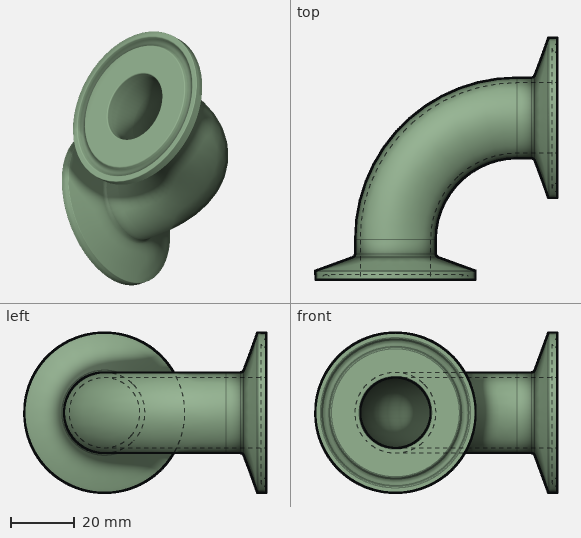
import cadquery as cq
import math


overall_length = 76.0
flange_diameter = 50.4
tube_outer_diameter = 25.4
tube_bore_diameter = 22.1
bend_radius = 38.15
rim_thickness = 2.8
cone_angle = 20.0
neck_fillet = 1.1
rim_edge_fillet = 0.2
bore_edge_fillet = 0.4

groove_diameter = 43.7
groove_arc_radius = 1.15
groove_depth = 1.6
groove_flank_angle = 25.0
groove_edge_fillet = 0.45

flange_radius = flange_diameter / 2
tube_radius = tube_outer_diameter / 2
bore_radius = tube_bore_diameter / 2
ferrule_length = overall_length - flange_radius - bend_radius
cone_height = (flange_radius - tube_radius) * math.tan(math.radians(cone_angle))
cone_top = rim_thickness + cone_height
groove_radius = groove_diameter / 2
flank_angle = math.radians(groove_flank_angle)
groove_arc_half_width = groove_arc_radius * math.cos(flank_angle)
groove_flank_height = groove_depth - groove_arc_radius * (1 - math.sin(flank_angle))
groove_half_width = groove_arc_half_width + groove_flank_height * math.tan(flank_angle)


def edges_at(body, radius, height):
    """Select the circular edges of a body on the Z axis by radius and height."""
    tolerance = 0.01
    return body.edges("%CIRCLE").filter(
        lambda edge: abs(edge.radius() - radius) < tolerance
        and abs(edge.Center().z - height) < tolerance
    )


def make_ferrule():
    """Clamp ferrule on the Z axis, with its clamp face at Z = 0 and its neck upward."""
    profile = (
        cq.Workplane("XZ")
        .moveTo(bore_radius, 0)
        .lineTo(groove_radius - groove_half_width, 0)
        .lineTo(groove_radius - groove_arc_half_width, groove_flank_height)
        .threePointArc(
            (groove_radius, groove_depth),
            (groove_radius + groove_arc_half_width, groove_flank_height),
        )
        .lineTo(groove_radius + groove_half_width, 0)
        .lineTo(flange_radius, 0)
        .lineTo(flange_radius, rim_thickness)
        .lineTo(tube_radius, cone_top)
        .lineTo(tube_radius, ferrule_length)
        .lineTo(bore_radius, ferrule_length)
        .close()
    )
    body = profile.revolve(360, (0, 0, 0), (0, 1, 0))

    edge_fillets = [
        (tube_radius, cone_top, neck_fillet),
        (flange_radius, rim_thickness, rim_edge_fillet),
        (flange_radius, 0, rim_edge_fillet),
        (bore_radius, 0, bore_edge_fillet),
        (groove_radius - groove_half_width, 0, groove_edge_fillet),
        (groove_radius + groove_half_width, 0, groove_edge_fillet),
    ]
    for edge_radius, edge_height, fillet_radius in edge_fillets:
        body = edges_at(body, edge_radius, edge_height).fillet(fillet_radius)
    return body


def make_bend():
    """Quarter-torus tube from the XZ plane at the origin, turning from +Y toward +X."""
    return (
        cq.Workplane("XZ")
        .circle(tube_radius)
        .circle(bore_radius)
        .revolve(90, (bend_radius, 0, 0), (bend_radius, -1, 0))
    )


ferrule = make_ferrule()
inlet = ferrule.rotate((0, 0, 0), (1, 0, 0), -90).translate((0, -ferrule_length, 0))
outlet = ferrule.rotate((0, 0, 0), (0, 1, 0), -90).translate(
    (bend_radius + ferrule_length, bend_radius, 0)
)

result = make_bend().union(inlet).union(outlet)